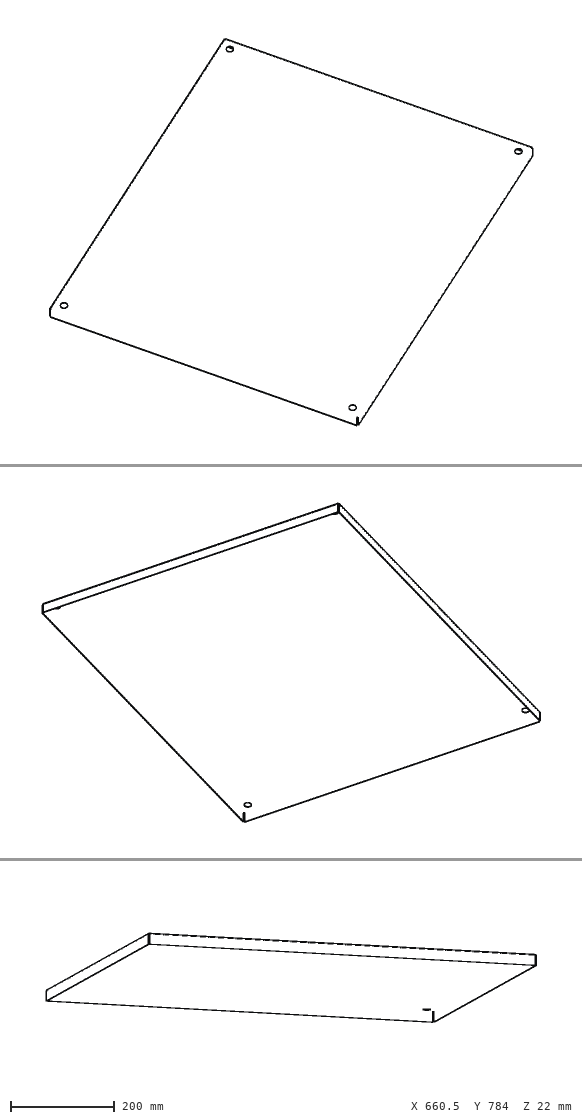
import cadquery as cq

width = 660.5
length = 784.0
height = 22.0
sheet = 2.0
bend_radius = 2.75
corner_notch = 3.0
hole_diameter = 14.0
hole_inset = 22.0


def rounded_block(block_width, block_length, block_height, top_radius):
    """Block standing on Z = 0 with rounded top edges."""
    block = cq.Workplane("XY").box(
        block_width, block_length, block_height, centered=(True, True, False)
    )
    return block.faces(">Z").edges().fillet(top_radius)


def upright_at_corners(inset_x, inset_y):
    """Workplane on Z = 0 with a point inset from each outer corner."""
    return (
        cq.Workplane("XY")
        .rect(width - 2 * inset_x, length - 2 * inset_y, forConstruction=True)
        .vertices()
    )


outside = rounded_block(width, length, height, bend_radius)
inside = rounded_block(
    width - 2 * sheet,
    length - 2 * sheet,
    height - sheet,
    bend_radius - sheet,
)
tray = outside.cut(inside)

notch_cutters = upright_at_corners(0, 0).rect(2 * corner_notch, 2 * corner_notch).extrude(height)

hole_cutters = upright_at_corners(hole_inset, hole_inset).circle(hole_diameter / 2).extrude(height)

result = tray.cut(notch_cutters).cut(hole_cutters)